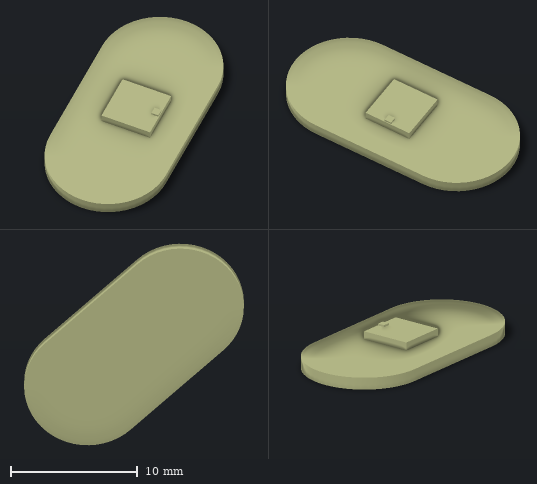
import cadquery as cq

plate_length = 20.0
plate_width = 10.0
plate_thickness = 1.0

block_size_x = 4.2
block_size_y = 4.05
block_height = 0.68
block_center_x = 0.2

overall_height = 1.85
tab_side = 0.6
tab_edge_gap = 0.05

block_top = plate_thickness + block_height
tab_height = overall_height - block_top
tab_center_x = block_center_x + block_size_x / 2 - tab_edge_gap - tab_side / 2


def box_on(level, center_x, size_x, size_y, height):
    """Box centered on Y = 0 with its bottom face at the given level."""
    return (
        cq.Workplane("XY", origin=(center_x, 0, level))
        .rect(size_x, size_y)
        .extrude(height)
    )


plate = cq.Workplane("XY").slot2D(plate_length, plate_width, 90).extrude(plate_thickness)
block = box_on(plate_thickness, block_center_x, block_size_x, block_size_y, block_height)
tab = box_on(block_top, tab_center_x, tab_side, tab_side, tab_height)

result = plate.union(block).union(tab)